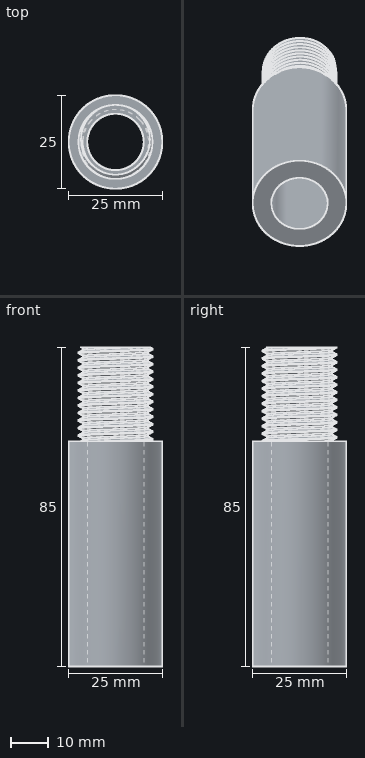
import cadquery as cq

total_height = 85.0
body_diameter = 25.0
bore_diameter = 15.0

spigot_height = 25.0
thread_turns = 12.5
major_diameter = 19.7
minor_diameter = 17.4
body_height = total_height - spigot_height
pitch = spigot_height / thread_turns
crest_width = pitch / 8
root_width = pitch / 4
root_overlap = 0.1
start_angle = -90


def cylinder(diameter, height, base=0.0):
    """Solid cylinder on the Z axis, standing at the given base height."""
    return cq.Workplane("XY").workplane(offset=base).circle(diameter / 2).extrude(height)


def thread_ridge():
    """Right-handed trapezoidal ridge running one pitch past each end of the spigot."""
    crest_radius = major_diameter / 2
    sunk_radius = minor_diameter / 2 - root_overlap
    thread_depth = (major_diameter - minor_diameter) / 2
    flank_slope = (pitch - crest_width - root_width) / 2 / thread_depth
    half_crest = crest_width / 2
    half_base = half_crest + flank_slope * (thread_depth + root_overlap)

    helix = cq.Wire.makeHelix(pitch, spigot_height + 2 * pitch, sunk_radius)
    ridge = (
        cq.Workplane("XZ")
        .polyline([
            (sunk_radius, -half_base),
            (crest_radius, -half_crest),
            (crest_radius, half_crest),
            (sunk_radius, half_base),
        ])
        .close()
        .sweep(cq.Workplane(obj=helix), isFrenet=True)
    )
    return ridge.rotate((0, 0, 0), (0, 0, 1), start_angle).translate((0, 0, body_height - pitch))


def trimmed_ridge():
    """Thread ridge cut off flat at the shoulder and at the top face."""
    return thread_ridge().intersect(cylinder(body_diameter, spigot_height, body_height))


body = cylinder(body_diameter, body_height)
core = cylinder(minor_diameter, total_height)
bore = cylinder(bore_diameter, total_height)

result = body.union(core).union(trimmed_ridge()).cut(bore)